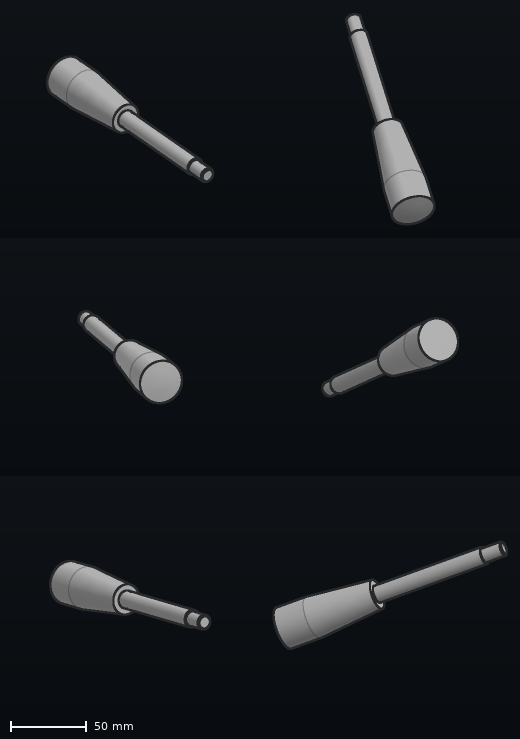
import cadquery as cq

total_length = 166.0
dome_height = 1.3
head_end = 23.5
grip_end = 71.0
tip_length = 15.0
tip_chamfer = 0.8
shoulder = total_length - tip_length

head_diameter = 29.0
grip_end_diameter = 20.5
rod_diameter = 12.0
tip_diameter = 10.0

head_radius = head_diameter / 2
grip_end_radius = grip_end_diameter / 2
rod_radius = rod_diameter / 2
tip_radius = tip_diameter / 2

dome_radius = (head_radius**2 + dome_height**2) / (2 * dome_height)
arc_mid_radius = head_radius / 2
arc_mid_x = dome_radius - (dome_radius**2 - arc_mid_radius**2) ** 0.5

profile = (
    cq.Workplane("XY")
    .moveTo(0, 0)
    .threePointArc((arc_mid_x, arc_mid_radius), (dome_height, head_radius))
    .lineTo(head_end, head_radius)
    .lineTo(grip_end, grip_end_radius)
    .lineTo(grip_end, rod_radius)
    .lineTo(shoulder, rod_radius)
    .lineTo(shoulder, tip_radius)
    .lineTo(total_length - tip_chamfer, tip_radius)
    .lineTo(total_length, tip_radius - tip_chamfer)
    .lineTo(total_length, 0)
    .close()
)

result = profile.revolve(360, (0, 0, 0), (1, 0, 0))